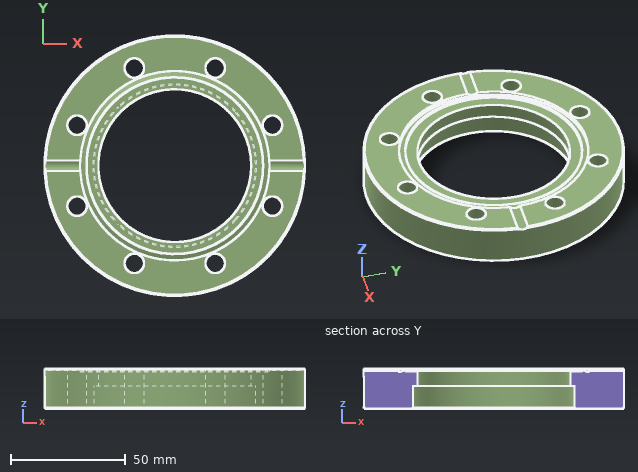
import cadquery as cq
import math

flange_diameter = 113.5
thickness = 17.5
rim_chamfer = 0.5

bore_diameter = 66.5
socket_diameter = 70.3
socket_depth = 9.9
socket_chamfer = 0.5

recess_diameter = 82.5
knife_diameter = 77.2
knife_base_diameter = 76.8
knife_depth = 0.5
cone_angle = 20.0
seat_depth = 1.1

bolt_count = 8
bolt_hole_diameter = 8.4
bolt_circle_diameter = 92.1

groove_width = 4.6
groove_depth = 0.9

flange_radius = flange_diameter / 2
top_z = thickness / 2
bottom_z = -top_z


def make_body():
    """Revolved ring: rim, sealing recess with knife edge, bore and socket."""
    bore_radius = bore_diameter / 2
    socket_radius = socket_diameter / 2
    recess_radius = recess_diameter / 2
    knife_radius = knife_diameter / 2
    socket_top_z = bottom_z + socket_depth
    seat_z = top_z - seat_depth
    knife_z = top_z - knife_depth
    cone_drop = (recess_radius - knife_radius) * math.tan(math.radians(cone_angle))

    return (
        cq.Workplane("XZ")
        .moveTo(socket_radius, bottom_z + socket_chamfer)
        .lineTo(socket_radius + socket_chamfer, bottom_z)
        .lineTo(flange_radius - rim_chamfer, bottom_z)
        .lineTo(flange_radius, bottom_z + rim_chamfer)
        .lineTo(flange_radius, top_z - rim_chamfer)
        .lineTo(flange_radius - rim_chamfer, top_z)
        .lineTo(recess_radius, top_z)
        .lineTo(recess_radius, knife_z - cone_drop)
        .lineTo(knife_radius, knife_z)
        .lineTo(knife_base_diameter / 2, seat_z)
        .lineTo(bore_radius, seat_z)
        .lineTo(bore_radius, socket_top_z)
        .lineTo(socket_radius, socket_top_z)
        .close()
        .revolve(360, (0, 0, 0), (0, 1, 0))
    )


def make_bolt_holes():
    """Through holes straddling the X and Y axes."""
    half_pitch = 180 / bolt_count
    return (
        cq.Workplane("XY", origin=(0, 0, bottom_z))
        .polarArray(bolt_circle_diameter / 2, half_pitch, 360, bolt_count)
        .circle(bolt_hole_diameter / 2)
        .extrude(thickness)
    )


def make_leak_groove(side):
    """Groove cutter from the recess wall to the rim; side is +1 for +X, -1 for -X."""
    groove_radius = (groove_width**2 / 4 + groove_depth**2) / (2 * groove_depth)
    axis_z = top_z - groove_depth + groove_radius
    cutter = (
        cq.Workplane("YZ")
        .center(0, axis_z)
        .circle(groove_radius)
        .extrude(side * flange_radius)
    )
    recess_core = (
        cq.Workplane("XY", origin=(0, 0, bottom_z))
        .circle(recess_diameter / 2)
        .extrude(thickness + 2 * groove_radius)
    )
    return cutter.cut(recess_core)


result = make_body().cut(make_bolt_holes())
for side in (1, -1):
    result = result.cut(make_leak_groove(side))